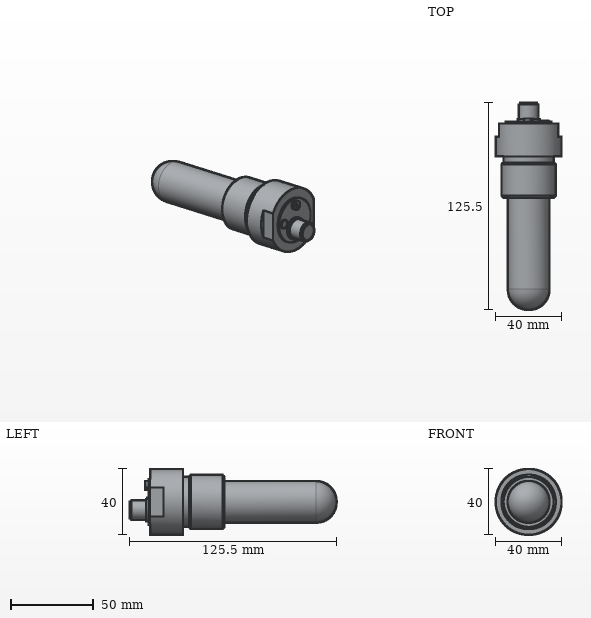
import cadquery as cq
import math

LENGTH = 125.5
CONNECTOR_END = LENGTH / 2

TIP_DIAMETER = 10.3
CONNECTOR_DIAMETER = 12.0
FLANGE_DIAMETER = 13.5
PLATE_DIAMETER = 27.9
HEAD_DIAMETER = 40.0
NECK_DIAMETER = 30.6
COLLAR_DIAMETER = 33.0
COLLAR_END_DIAMETER = 30.2
TUBE_DIAMETER = 25.5

CONNECTOR_OFFSET_Z = -5.0

TIP_LENGTH = 0.8
TIP_CHAMFER_LENGTH = 0.5
CONNECTOR_LENGTH = 8.7
FLANGE_LENGTH = 1.5
PLATE_LENGTH = 1.1
HEAD_LENGTH = 20.0
NECK_LENGTH = 3.6
COLLAR_REAR_CHAMFER_LENGTH = 1.1
COLLAR_LENGTH = 19.0
COLLAR_FRONT_CHAMFER_LENGTH = 1.4

FLATS_WIDTH = 36.0
FLATS_LENGTH = 8.0

BUTTON_DIAMETER = 5.5
SCREW_HEIGHT = 1.9
SCREW_OFFSET_Z = 9.9
SLOT_WIDTH = 1.0
SLOT_DEPTH = 0.8
SLOT_ANGLE = 45
LENS_HEIGHT = 0.6
LENS_EDGE_CHAMFER = 0.3
LENS_OFFSET_X = 9.7

plate_face_y = CONNECTOR_END - (TIP_LENGTH + TIP_CHAMFER_LENGTH + CONNECTOR_LENGTH + FLANGE_LENGTH)
head_rear_y = plate_face_y - PLATE_LENGTH


def turned_steps(steps, start_y):
    """Stack (start diameter, end diameter, length) steps from start_y toward -Y."""
    y = start_y
    radius = 0.0
    profile = cq.Workplane("XY").moveTo(radius, y)
    for start_diameter, end_diameter, length in steps:
        if start_diameter / 2 != radius:
            profile = profile.lineTo(start_diameter / 2, y)
        y -= length
        radius = end_diameter / 2
        profile = profile.lineTo(radius, y)
    return profile.lineTo(0, y).close().revolve(360, (0, 0, 0), (0, 1, 0))


def connector():
    """Plug connector with its flange, reaching to the cover plate."""
    steps = [
        (TIP_DIAMETER, TIP_DIAMETER, TIP_LENGTH),
        (TIP_DIAMETER, CONNECTOR_DIAMETER, TIP_CHAMFER_LENGTH),
        (CONNECTOR_DIAMETER, CONNECTOR_DIAMETER, CONNECTOR_LENGTH),
        (FLANGE_DIAMETER, FLANGE_DIAMETER, FLANGE_LENGTH),
    ]
    return turned_steps(steps, CONNECTOR_END).translate((0, 0, CONNECTOR_OFFSET_Z))


def housing():
    """Cover plate, head, neck and chamfered collar."""
    steps = [
        (PLATE_DIAMETER, PLATE_DIAMETER, PLATE_LENGTH),
        (HEAD_DIAMETER, HEAD_DIAMETER, HEAD_LENGTH),
        (NECK_DIAMETER, NECK_DIAMETER, NECK_LENGTH),
        (NECK_DIAMETER, COLLAR_DIAMETER, COLLAR_REAR_CHAMFER_LENGTH),
        (COLLAR_DIAMETER, COLLAR_DIAMETER, COLLAR_LENGTH),
        (COLLAR_DIAMETER, COLLAR_END_DIAMETER, COLLAR_FRONT_CHAMFER_LENGTH),
    ]
    return turned_steps(steps, plate_face_y)


def domed_tube():
    """Tube rooted in the head, closed at the front by a hemisphere."""
    radius = TUBE_DIAMETER / 2
    dome_y = -LENGTH / 2 + radius
    dome_mid = radius * math.sqrt(0.5)
    profile = (
        cq.Workplane("XY")
        .moveTo(0, head_rear_y)
        .lineTo(radius, head_rear_y)
        .lineTo(radius, dome_y)
        .threePointArc((dome_mid, dome_y - dome_mid), (0, -LENGTH / 2))
        .close()
    )
    return profile.revolve(360, (0, 0, 0), (0, 1, 0))


def wrench_flat(side):
    """Block that cuts one flat; side is -1 or +1 along X."""
    depth = (HEAD_DIAMETER - FLATS_WIDTH) / 2
    center_x = side * (FLATS_WIDTH / 2 + depth / 2)
    block = cq.Workplane("XY").box(depth, FLATS_LENGTH, HEAD_DIAMETER)
    return block.translate((center_x, head_rear_y - FLATS_LENGTH / 2, 0))


def plate_button(x, z, height):
    """Short cylinder rising from the cover plate, rooted in the plate."""
    root = cq.Workplane("XZ", origin=(x, head_rear_y, z))
    return root.circle(BUTTON_DIAMETER / 2).extrude(-(PLATE_LENGTH + height))


def slotted_screw():
    """Screw head with a diagonal driver slot running from -X, -Z to +X, +Z."""
    slot = cq.Workplane("XY").box(2 * BUTTON_DIAMETER, SLOT_DEPTH, SLOT_WIDTH)
    slot = slot.rotate((0, 0, 0), (0, 1, 0), -SLOT_ANGLE)
    slot_y = plate_face_y + SCREW_HEIGHT - SLOT_DEPTH / 2
    slot = slot.translate((0, slot_y, SCREW_OFFSET_Z))
    return plate_button(0, SCREW_OFFSET_Z, SCREW_HEIGHT).cut(slot)


body = housing().union(domed_tube()).union(connector())
for side in (-1, 1):
    body = body.cut(wrench_flat(side))

screw = slotted_screw()
lens = plate_button(LENS_OFFSET_X, 0, LENS_HEIGHT).faces(">Y").chamfer(LENS_EDGE_CHAMFER)

result = body.union(screw).union(lens)